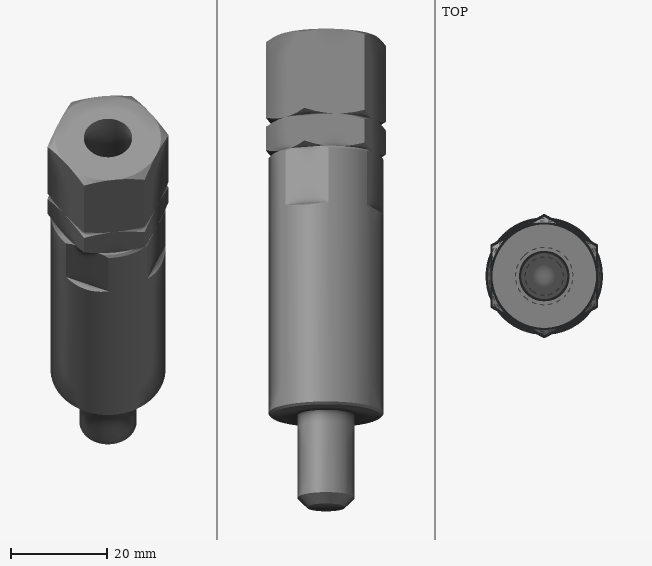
import cadquery as cq
import math

total_height = 99.5
across_flats = 22.0
hex_nut_height = 18.0
lock_nut_height = 7.0
bore_diameter = 10.0
body_diameter = 24.0
body_edge_chamfer = 0.5
stud_diameter = 11.9
stud_length = 19.5
stud_chamfer = 2.0
wrench_flat_length = 11.9
bevel_angle = 30.0

across_corners = across_flats / math.cos(math.pi / 6)
bevel_slope = math.tan(math.radians(bevel_angle))
hex_nut_base = total_height - hex_nut_height
lock_nut_base = hex_nut_base - lock_nut_height
body_height = lock_nut_base - stud_length
wrench_flat_base = lock_nut_base - wrench_flat_length


def beveled_hexagon(base, height):
    """Hexagonal prism, corners on Y, with both ends beveled down to the inscribed circle."""
    prism = (
        cq.Workplane("XY", origin=(0, 0, base))
        .polygon(6, across_corners)
        .extrude(height)
        .rotate((0, 0, 0), (0, 0, 1), 90)
    )
    end_radius = across_flats / 2
    rim_radius = across_corners / 2 + 1.0
    bevel_height = (rim_radius - end_radius) * bevel_slope
    envelope = (
        cq.Workplane("XZ")
        .moveTo(0, base)
        .lineTo(end_radius, base)
        .lineTo(rim_radius, base + bevel_height)
        .lineTo(rim_radius, base + height - bevel_height)
        .lineTo(end_radius, base + height)
        .lineTo(0, base + height)
        .close()
        .revolve(360, (0, 0, 0), (0, 1, 0))
    )
    return prism.intersect(envelope)


def make_hex_nut():
    """Tall hexagon with a plain bore through it."""
    bore = cq.Workplane("XY", origin=(0, 0, hex_nut_base)).circle(bore_diameter / 2).extrude(hex_nut_height)
    return beveled_hexagon(hex_nut_base, hex_nut_height).cut(bore)


def make_lock_nut():
    """Thin hexagon that closes the lower end of the bore."""
    return beveled_hexagon(lock_nut_base, lock_nut_height)


def wrench_flat_cutter():
    """Removes one flat on the +X side, with a floor sloping down outward."""
    inner = across_flats / 2
    outer = body_diameter / 2 + 1.0
    floor_drop = (outer - inner) * bevel_slope
    return (
        cq.Workplane("XZ")
        .moveTo(inner, wrench_flat_base)
        .lineTo(outer, wrench_flat_base - floor_drop)
        .lineTo(outer, lock_nut_base)
        .lineTo(inner, lock_nut_base)
        .close()
        .extrude(body_diameter / 2, both=True)
    )


def make_body():
    """Cylinder with four wrench flats at the top and a chamfered stud below."""
    stud = (
        cq.Workplane("XY")
        .circle(stud_diameter / 2)
        .extrude(stud_length)
        .faces("<Z")
        .chamfer(stud_chamfer)
    )
    barrel = (
        cq.Workplane("XY", origin=(0, 0, stud_length))
        .circle(body_diameter / 2)
        .extrude(body_height)
        .edges("%CIRCLE")
        .chamfer(body_edge_chamfer)
    )
    body = barrel.union(stud)
    cutter = wrench_flat_cutter()
    for angle in (0, 90, 180, 270):
        body = body.cut(cutter.rotate((0, 0, 0), (0, 0, 1), angle))
    return body


hex_nut = make_hex_nut()
lock_nut = make_lock_nut()
body = make_body()

result = cq.Compound.makeCompound([hex_nut.solids().val(), lock_nut.solids().val(), body.solids().val()])